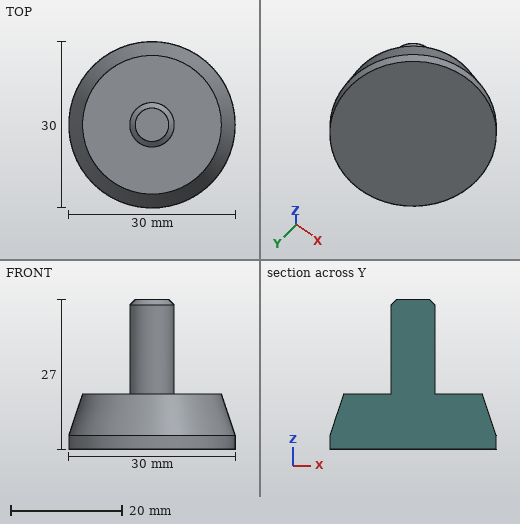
import cadquery as cq

base_diameter = 30.0
shoulder_diameter = 25.0
stud_diameter = 8.0
rim_height = 2.5
foot_height = 10.0
total_height = 27.0
stud_chamfer = 1.0

base_radius = base_diameter / 2
shoulder_radius = shoulder_diameter / 2
stud_radius = stud_diameter / 2

foot = (
    cq.Workplane("XZ")
    .moveTo(0, 0)
    .lineTo(base_radius, 0)
    .lineTo(base_radius, rim_height)
    .lineTo(shoulder_radius, foot_height)
    .lineTo(0, foot_height)
    .close()
    .revolve(360, (0, 0, 0), (0, 1, 0))
)

stud = (
    cq.Workplane("XY")
    .workplane(offset=foot_height)
    .circle(stud_radius)
    .extrude(total_height - foot_height)
    .faces(">Z")
    .chamfer(stud_chamfer)
)

result = foot.union(stud)